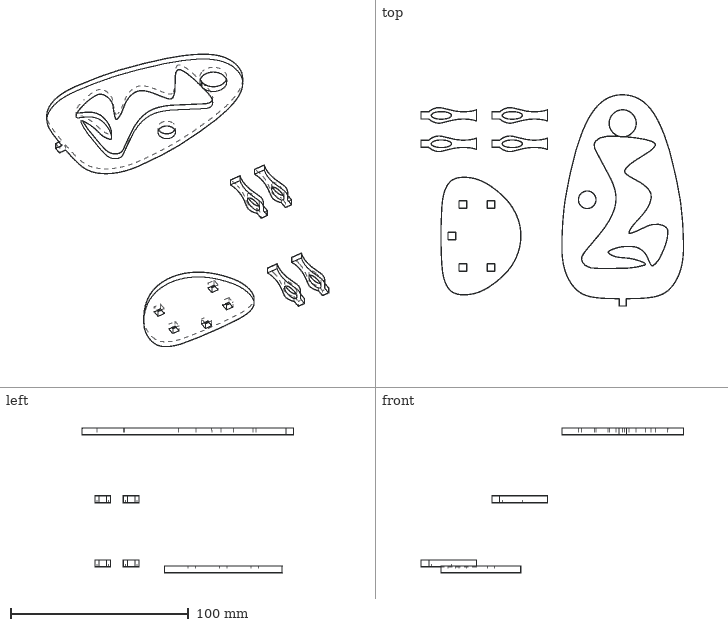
import cadquery as cq

THICKNESS = 4.0
TENON_WIDTH = 4.1

PLATE_CENTER_X = 113.5
PLATE_TOP_Y = 118.9
PLATE_BOTTOM_Y = 4.1
PLATE_BASE_Z = 77.5
TENON_OVERLAP = 1.5
PLATE_EDGE = [
    (10.6, 115.7), (22.3, 99.1), (29.1, 76.5), (33.1, 54.7),
    (34.1, 39.6), (32.2, 19.2), (23.3, 7.2), (11.8, 4.5),
]
EYE_RADIUS = 7.5
EYE_CENTER = (PLATE_CENTER_X, 102.8)
SIDE_HOLE_RADIUS = 4.9
SIDE_HOLE_CENTER = (93.5, 59.8)
WINDOW_POINTS = [
    (113.5, 95.1), (125.5, 93.8), (131.8, 90.7), (128.0, 86.7), (116.5, 78.9), (114.5, 75.8),
    (117.9, 72.5), (125.0, 68.4), (129.3, 63.4), (128.8, 58.3), (123.3, 50.1), (118.0, 43.7),
    (117.0, 41.0), (120.1, 41.7), (133.7, 46.0), (138.3, 43.7), (138.5, 38.9), (134.7, 28.0),
    (131.5, 23.5), (130.0, 22.7), (128.7, 24.5), (126.0, 29.8), (122.2, 32.8), (116.0, 33.7),
    (107.8, 32.0), (105.3, 30.3), (107.0, 28.8), (113.7, 27.2), (124.1, 25.0), (126.2, 23.8),
    (121.1, 22.0), (112.3, 21.3), (99.0, 21.3), (92.3, 23.0), (90.4, 26.3), (93.0, 31.8),
    (105.8, 47.9), (109.8, 60.0), (104.3, 76.5), (98.7, 86.7), (97.5, 90.8), (100.7, 94.5),
]

BASE_CENTER_Y = 39.5
BASE_HALF_LENGTH = 33.1
BASE_TIP_X = 25.3
BASE_LEFT_X = 11.2
BASE_RIGHT_X = 56.3
BASE_RIGHT_EDGE = [(53.6, 12.1), (48.6, 20.0), (42.1, 26.0), (33.7, 31.2)]
BASE_LEFT_EDGE = [(17.1, 31.2), (13.6, 26.0), (11.7, 15.5)]
LEG_MORTISE_X = (23.6, 39.5)
LEG_MORTISE_OFFSET_Y = 17.7
PLATE_MORTISE_X = 17.5

LEG_LENGTH = 31.3
LEG_TENON_LENGTH = 4.5
LEG_FOOT_HALF_WIDTH = 3.2
LEG_SIDE = [(7.0, 3.7), (9.9, 4.5), (14.0, 3.7), (19.2, 2.5), (24.2, 2.0), (27.9, 2.4)]
LEG_SLOT_CENTER_X = 11.5
LEG_SLOT_HALF_LENGTH = 5.6
LEG_SLOT_HALF_WIDTH = 2.0
LEG_X_Z = [(0, 3.4), (39.9, 39.5)]
LEG_CENTER_Y = (107.2, 91.3)


def mirror_edge(points, center_x):
    """Outline points of both edges: the right one downward, then the left one upward."""
    right = [(center_x + half_width, y) for half_width, y in points]
    left = [(center_x - half_width, y) for half_width, y in reversed(points)]
    return right, left


def make_front_plate():
    right, left = mirror_edge(PLATE_EDGE, PLATE_CENTER_X)
    outline = [(PLATE_CENTER_X, PLATE_TOP_Y), *right, (PLATE_CENTER_X, PLATE_BOTTOM_Y), *left]
    board = cq.Workplane().spline(outline, periodic=True).close().extrude(THICKNESS)

    tenon_root_y = PLATE_BOTTOM_Y + TENON_OVERLAP
    tenon = cq.Workplane().center(PLATE_CENTER_X, tenon_root_y / 2)
    tenon = tenon.rect(TENON_WIDTH, tenon_root_y).extrude(THICKNESS)

    window = cq.Workplane().spline(WINDOW_POINTS, periodic=True).close().extrude(THICKNESS)
    eye = cq.Workplane().center(*EYE_CENTER).circle(EYE_RADIUS).extrude(THICKNESS)
    side_hole = cq.Workplane().center(*SIDE_HOLE_CENTER).circle(SIDE_HOLE_RADIUS).extrude(THICKNESS)

    plate = board.union(tenon).cut(window).cut(eye).cut(side_hole)
    return plate.translate((0, 0, PLATE_BASE_Z))


def make_base_plate():
    upper = [*BASE_RIGHT_EDGE, (BASE_TIP_X, BASE_HALF_LENGTH), *BASE_LEFT_EDGE]
    lower = [(x, -offset) for x, offset in reversed(upper)]
    outline = [(BASE_RIGHT_X, 0), *upper, (BASE_LEFT_X, 0), *lower]
    board = cq.Workplane().spline(outline, periodic=True).close().extrude(THICKNESS)

    mortises = [(PLATE_MORTISE_X, 0)]
    for x in LEG_MORTISE_X:
        mortises += [(x, LEG_MORTISE_OFFSET_Y), (x, -LEG_MORTISE_OFFSET_Y)]
    cutters = cq.Workplane().pushPoints(mortises).rect(TENON_WIDTH, TENON_WIDTH).extrude(THICKNESS)
    return board.cut(cutters).translate((0, BASE_CENTER_Y, 0))


def make_leg(x, y, z):
    half_tenon = TENON_WIDTH / 2
    side = [(LEG_TENON_LENGTH, half_tenon), *LEG_SIDE, (LEG_LENGTH, LEG_FOOT_HALF_WIDTH)]
    opposite_side = [(px, -py) for px, py in reversed(side)]
    profile = cq.Workplane().moveTo(0, -half_tenon).lineTo(0, half_tenon).lineTo(*side[0])
    profile = profile.spline(side[1:], includeCurrent=True).lineTo(*opposite_side[0])
    profile = profile.spline(opposite_side[1:], includeCurrent=True).close()
    leg = profile.extrude(THICKNESS)

    slot = cq.Workplane().center(LEG_SLOT_CENTER_X, 0)
    slot = slot.ellipse(LEG_SLOT_HALF_LENGTH, LEG_SLOT_HALF_WIDTH).extrude(THICKNESS)
    return leg.cut(slot).translate((x, y, z))


front_plate = make_front_plate()
base_plate = make_base_plate()
legs = [make_leg(x, y, z) for x, z in LEG_X_Z for y in LEG_CENTER_Y]

result = cq.Compound.makeCompound([front_plate.val(), base_plate.val(), *[leg.val() for leg in legs]])